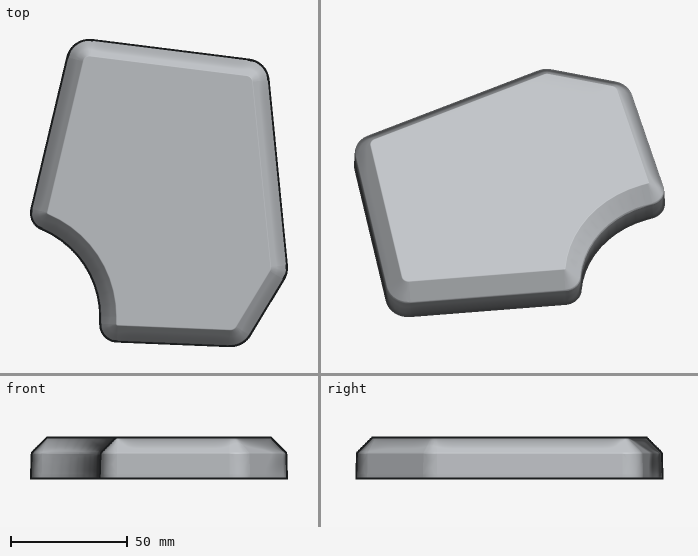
import cadquery as cq
import math

total_height = 17.78
base_height = 1.78
bevel_height = 6.7
wall_height = total_height - base_height - bevel_height

wall_draft = 2.0
bevel_angle = 45.0

shoulder_round = 1.27
rim_round = 0.6

rear_left = (-37.34, 66.87)
rear_right = (46.37, 56.40)
side_right = (55.30, -34.23)
front_right = (36.06, -65.99)
front_left = (-25.30, -63.49)

notch_radius = 40.64
notch_sweep = 76.4
notch_start = (front_left[0], -53.0)
notch_center = (notch_start[0] - notch_radius, notch_start[1])

corner_radius = 9.9
notch_corner_radius = 7.62


def notch_point(angle):
    """Point on the notch arc, with the angle in degrees from +X."""
    turn = math.radians(angle)
    return (
        notch_center[0] + notch_radius * math.cos(turn),
        notch_center[1] + notch_radius * math.sin(turn),
    )


left_tip = notch_point(notch_sweep)


def sharp_base():
    """Straight-sided base plate with sharp plan corners."""
    return (
        cq.Workplane("XY")
        .moveTo(*left_tip)
        .lineTo(*rear_left)
        .lineTo(*rear_right)
        .lineTo(*side_right)
        .lineTo(*front_right)
        .lineTo(*front_left)
        .lineTo(*notch_start)
        .threePointArc(notch_point(notch_sweep / 2), left_tip)
        .close()
        .extrude(base_height)
    )


def round_corners(plate, corners, radius):
    """Round the vertical edges of the base plate at the given plan corners."""
    for x, y in corners:
        nearest = cq.selectors.NearestToPointSelector((x, y, base_height / 2))
        plate = plate.edges(nearest).fillet(radius)
    return plate


def add_band(body, height, lean):
    """Add a band on the top face whose sides lean inward by the given angle."""
    return body.faces(">Z").wires().toPending().workplane().extrude(height, taper=lean)


def round_shoulder(body):
    """Round the edge loop where the drafted wall meets the bevel."""
    shoulder = base_height + wall_height
    reach = 2 * rear_left[1]
    slab = cq.selectors.BoxSelector(
        (-reach, -reach, shoulder - shoulder_round),
        (reach, reach, shoulder + shoulder_round),
    )
    return body.edges(slab).fillet(shoulder_round)


def round_rim(body):
    """Round the edge loop of the top face."""
    return body.faces(">Z").edges().fillet(rim_round)


part = sharp_base()
part = round_corners(part, [rear_left, rear_right, side_right, front_right], corner_radius)
part = round_corners(part, [front_left, left_tip], notch_corner_radius)

part = add_band(part, wall_height, wall_draft)
part = add_band(part, bevel_height, bevel_angle)

part = round_shoulder(part)
part = round_rim(part)

result = part